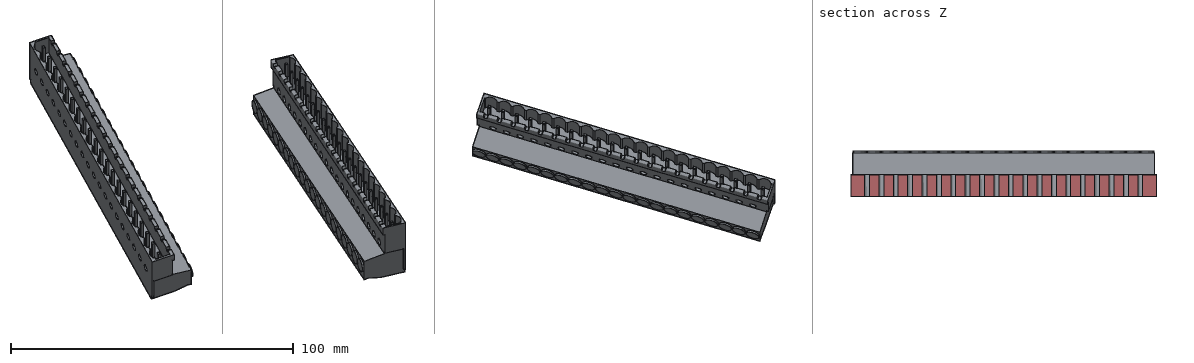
import cadquery as cq

length = 108.3
height = 22.0
depth = 16.1

pole_count = 21
pitch = 5.1
end_margin = 0.6
poles_start = end_margin
poles_length = pole_count * pitch
pole_centers = [poles_start + (i + 0.5) * pitch for i in range(pole_count)]

body_depth = 15.5
body_rear_bottom = 0.6
body_rear_top = 8.8
body_shoulder = 10.1
foot_depth = 9.3
underside_ridge_depth = 14.0
underside_ridge_height = 1.0

shroud_depth = 7.8
shroud_bottom = 10.7
rear_wall_inside = 7.1
flange_thickness = 0.6
flange_bottom = 1.6

lip_depth = 8.6
lip_bottom = 18.8
lip_round = 0.4

cavity_floor = 13.4
scallop_valley = 0.6
scallop_peak = 1.7
scallop_flat = 0.8

notch_depth = 1.2
notch_top_width = 1.6
notch_floor_width = 1.0

pin_width = 1.0
pin_front = 3.6
pin_top = 21.2
pin_chamfer = 0.3

hole_diameter = 2.4
hole_height = 11.9

collar_diameter = 4.8
collar_height = 5.5


def extrude_along_x(points, start, distance):
    """Extrude a (Y, Z) outline in +X."""
    return cq.Workplane("YZ", origin=(start, 0, 0)).polyline(points).close().extrude(distance)


def extrude_along_y(outline, distance):
    """Extrude an outline on an XZ plane in +Y, against the normal of that plane."""
    return outline.extrude(-distance)


def make_body():
    outline = [
        (0, 0),
        (foot_depth, 0),
        (underside_ridge_depth, underside_ridge_height),
        (body_depth, body_rear_bottom),
        (body_depth, body_rear_top),
        (shroud_depth, body_shoulder),
        (shroud_depth, shroud_bottom),
        (0, shroud_bottom),
    ]
    return extrude_along_x(outline, poles_start, poles_length)


def make_shroud():
    outline = [
        (0, flange_bottom),
        (flange_thickness, flange_bottom),
        (flange_thickness, shroud_bottom),
        (shroud_depth, shroud_bottom),
        (shroud_depth, lip_bottom),
        (lip_depth, lip_bottom),
        (lip_depth, height),
        (0, height),
    ]
    shroud = extrude_along_x(outline, 0, length)
    return shroud.faces(">Z").edges(">Y").fillet(lip_round)


def make_cavity():
    """Pocket open at the top, its front side following one arc per pole."""
    outline = cq.Workplane("XY", origin=(0, 0, cavity_floor))
    outline = outline.moveTo(poles_start, rear_wall_inside).lineTo(poles_start, scallop_peak)
    scallop_half = (pitch - scallop_flat) / 2
    for x in pole_centers:
        outline = outline.lineTo(x - scallop_half, scallop_peak)
        outline = outline.threePointArc((x, scallop_valley), (x + scallop_half, scallop_peak))
    poles_end = poles_start + poles_length
    outline = outline.lineTo(poles_end, scallop_peak).lineTo(poles_end, rear_wall_inside).close()
    return outline.extrude(height - cavity_floor)


def make_notch(x):
    outline = (
        cq.Workplane("XZ", origin=(x, rear_wall_inside, height))
        .moveTo(-notch_top_width / 2, 0)
        .lineTo(-notch_floor_width / 2, -notch_depth)
        .lineTo(notch_floor_width / 2, -notch_depth)
        .lineTo(notch_top_width / 2, 0)
        .close()
    )
    return extrude_along_y(outline, lip_depth - rear_wall_inside)


def make_pin(x):
    """Square pin with a chamfer on the rear edge of its tip."""
    pin_rear = pin_front + pin_width
    outline = [
        (pin_front, shroud_bottom),
        (pin_rear, shroud_bottom),
        (pin_rear, pin_top - pin_chamfer),
        (pin_rear - pin_chamfer, pin_top),
        (pin_front, pin_top),
    ]
    return extrude_along_x(outline, x - pin_width / 2, pin_width)


def make_collar(x):
    circle = cq.Workplane("XZ", origin=(x, body_depth, collar_height)).circle(collar_diameter / 2)
    return extrude_along_y(circle, depth - body_depth)


def make_hole(x):
    circle = cq.Workplane("XZ", origin=(x, 0, hole_height)).circle(hole_diameter / 2)
    return extrude_along_y(circle, depth)


housing = make_body().union(make_shroud()).cut(make_cavity())

for x in pole_centers:
    housing = housing.cut(make_notch(x)).union(make_pin(x)).union(make_collar(x))

for x in pole_centers[:-1]:
    housing = housing.cut(make_hole(x + pitch / 2))

result = housing